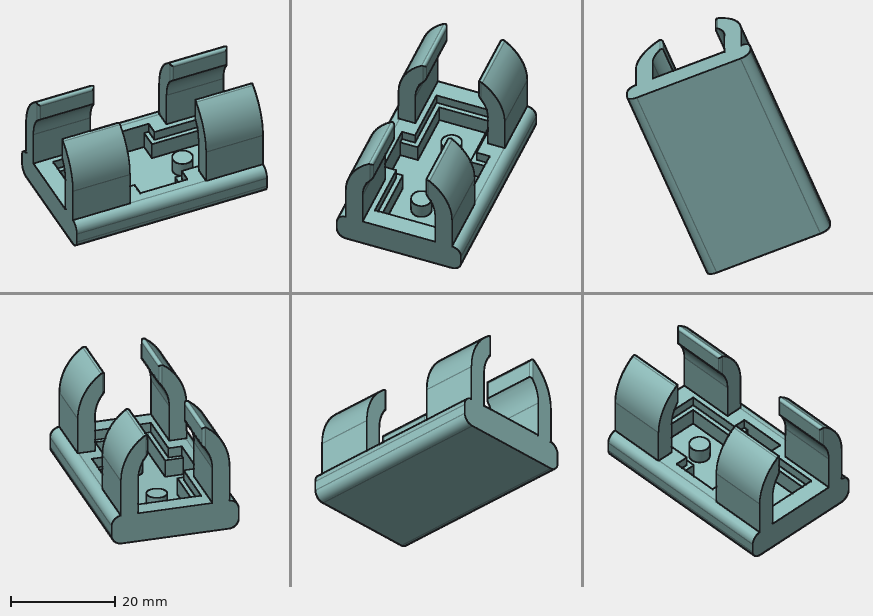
import cadquery as cq
import math

length = 40.0
base_width = 25.5
base_height = 6.0
base_edge_radius = 2.0

arm_outer_radius = 10.9
arm_inner_radius = 7.45
arm_length = 12.0
arc_axis_height = 13.35
tip_half_gap = 5.45
tip_rounding = 0.5

floor_thickness = 0.5
ledge_depth = 2.0
ledge_width = 0.95
pocket_half_width = 5.35
pocket_half_length = 15.4
wing_half_width = 9.0
wing_half_length = 4.0

pin_diameter = 4.0
pin_height = 3.0
pin_spacing = 16.0


def make_base():
    plate = cq.Workplane("XY").box(base_width, length, base_height, centered=(True, True, False))
    return plate.edges("|Y").fillet(base_edge_radius)


def cross_prism(bottom, half_width, half_length, wing_half_y):
    """Cross-shaped cutter reaching from the given height to the top of the base."""
    height = base_height - bottom
    level = cq.Workplane("XY").workplane(offset=bottom)
    centered = (True, True, False)
    spine = level.box(2 * half_width, 2 * half_length, height, centered=centered)
    wings = level.box(2 * wing_half_width, 2 * wing_half_y, height, centered=centered)
    return spine.union(wings)


def make_pocket():
    lower = cross_prism(floor_thickness, pocket_half_width, pocket_half_length, wing_half_length)
    upper = cross_prism(
        base_height - ledge_depth,
        pocket_half_width + ledge_width,
        pocket_half_length + ledge_width,
        wing_half_length + ledge_width,
    )
    return lower.union(upper)


def arc_point(radius, angle):
    """Point in the XZ plane on an arm arc, with the angle measured from +X."""
    return radius * math.cos(angle), arc_axis_height + radius * math.sin(angle)


def make_arm():
    """Arm on the +X side at the +Y end, with its tip face rounded at the top and both ends."""
    outer_end = math.acos(tip_half_gap / arm_outer_radius)
    inner_end = math.acos(tip_half_gap / arm_inner_radius)
    root = base_height - base_edge_radius
    profile = (
        cq.Workplane("XZ")
        .moveTo(arm_inner_radius, root)
        .lineTo(arm_outer_radius, root)
        .lineTo(arm_outer_radius, arc_axis_height)
        .threePointArc(arc_point(arm_outer_radius, outer_end / 2), arc_point(arm_outer_radius, outer_end))
        .lineTo(*arc_point(arm_inner_radius, inner_end))
        .threePointArc(
            arc_point(arm_inner_radius, inner_end / 2),
            (arm_inner_radius, arc_axis_height),
        )
        .close()
    )
    arm = profile.extrude(-arm_length).translate((0, length / 2 - arm_length, 0))
    tip_edges = arm.faces("<X").edges("|Z or >Z")
    return tip_edges.fillet(tip_rounding)


def make_pins():
    return (
        cq.Workplane("XY")
        .pushPoints([(0, -pin_spacing / 2), (0, pin_spacing / 2)])
        .circle(pin_diameter / 2)
        .extrude(floor_thickness + pin_height)
    )


arm = make_arm()
arm_pair = arm.union(arm.mirror("YZ"))
arms = arm_pair.union(arm_pair.mirror("XZ"))

result = make_base().union(arms).cut(make_pocket()).union(make_pins())